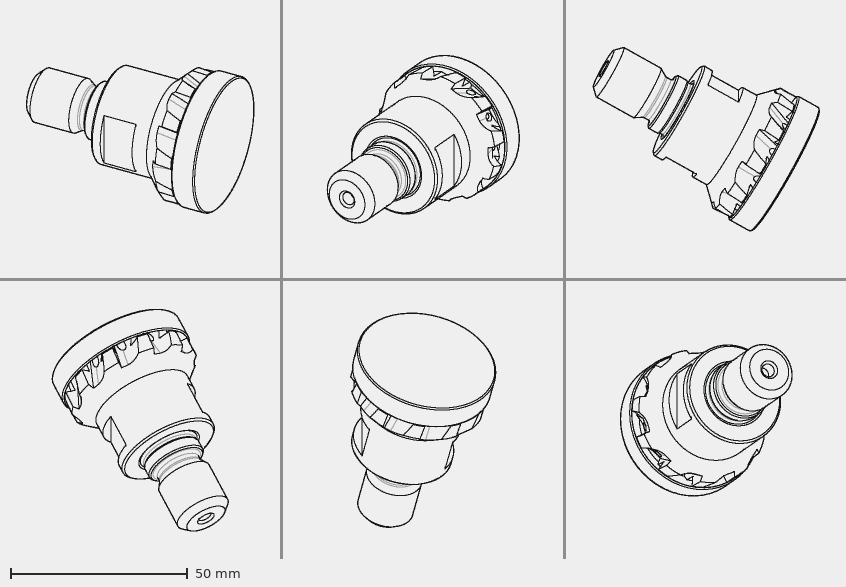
import cadquery as cq
import math

TIP_CHAMFER_END = 2.05
SHANK_END = 14.15
NECK_TAPER_END = 16.3
NECK_START = 16.8
NECK_END = 18.1
COLLAR_START = 19.0
COLLAR_END = 22.25
RELIEF_START = 22.7
BODY_START = 24.0
CONE_START = 41.55
CONE_END = 46.6
RIB_END = 51.45
LIP_START = 51.75
GAP_END = 55.75
TOTAL_LENGTH = 59.0

TIP_RADIUS = 6.0
SHANK_RADIUS = 8.0
NECK_RADIUS = 6.55
NECK_TAPER_RADIUS = 6.7
NECK_FILLET = COLLAR_START - NECK_END
COLLAR_RADIUS = 8.55
COLLAR_CHAMFER = 0.5
RELIEF_RADIUS = 8.2
BODY_RADIUS = 14.5
BODY_CHAMFER = 0.6
RIB_RADIUS = 19.5
FLANGE_RADIUS = 20.0
FLANGE_CHAMFER = 0.4

UNDERCUT_OUTER_RADIUS = 9.5
UNDERCUT_DEPTH = 0.3
UNDERCUT_FILLET = 0.7

GAP_FLOOR_RADIUS = 16.8
GAP_FLOOR_START = 51.0
LIP_INNER_RADIUS = 15.4

FLAT_START = 27.1
FLAT_LENGTH = 10.0
FLAT_DISTANCE = 12.0

HOLE_RADIUS = 1.9
HOLE_DEPTH = 4.7
COUNTERSINK_RADIUS = 2.6
DRILL_POINT_ANGLE = 118.0

SLOT_COUNT = 11
SLOT_START = 43.65
SLOT_FLOOR_RADIUS = 18.75
SLOT_FLOOR_WIDTH = 2.0
SLOT_WALL_HEIGHT = 2.3
SLOT_ARC_RADIUS = 5.9
SLOT_TAPER = 21.0
SLOT_TWIST = 8.5
SLOT_WALL_LEAN = 10.0

PORT_RADIUS = 1.1
PORT_POSITION = 53.0
PORT_ANGLE = 50.0
PORT_DEPTH = 5.9
PORT_CLEARANCE = 2.95


def revolve_x(profile):
    """Turn a closed half profile in the XY plane about the X axis."""
    return profile.close().revolve(360, (0, 0, 0), (1, 0, 0))


def make_hub():
    """Shank, collar, body and head, up to the bottom of the ring gap."""
    neck_offset = NECK_FILLET * math.sqrt(0.5)
    undercut_end = BODY_START + UNDERCUT_DEPTH
    undercut_start = undercut_end - UNDERCUT_FILLET
    undercut_offset = UNDERCUT_FILLET * math.sqrt(0.5)
    profile = (
        cq.Workplane("XY")
        .moveTo(0, 0)
        .lineTo(0, TIP_RADIUS)
        .lineTo(TIP_CHAMFER_END, SHANK_RADIUS)
        .lineTo(SHANK_END, SHANK_RADIUS)
        .lineTo(NECK_TAPER_END, NECK_TAPER_RADIUS)
        .tangentArcPoint((NECK_START, NECK_RADIUS), relative=False)
        .lineTo(NECK_END, NECK_RADIUS)
        .threePointArc(
            (NECK_END + neck_offset, NECK_RADIUS + NECK_FILLET - neck_offset),
            (COLLAR_START, NECK_RADIUS + NECK_FILLET),
        )
        .lineTo(COLLAR_START, COLLAR_RADIUS - COLLAR_CHAMFER)
        .lineTo(COLLAR_START + COLLAR_CHAMFER, COLLAR_RADIUS)
        .lineTo(COLLAR_END, COLLAR_RADIUS)
        .lineTo(RELIEF_START, RELIEF_RADIUS)
        .lineTo(undercut_start, RELIEF_RADIUS)
        .threePointArc(
            (undercut_start + undercut_offset, RELIEF_RADIUS + UNDERCUT_FILLET - undercut_offset),
            (undercut_end, RELIEF_RADIUS + UNDERCUT_FILLET),
        )
        .lineTo(BODY_START, UNDERCUT_OUTER_RADIUS)
        .lineTo(BODY_START, BODY_RADIUS - BODY_CHAMFER)
        .lineTo(BODY_START + BODY_CHAMFER, BODY_RADIUS)
        .lineTo(CONE_START, BODY_RADIUS)
        .lineTo(CONE_END, RIB_RADIUS)
        .lineTo(RIB_END, RIB_RADIUS)
        .lineTo(GAP_FLOOR_START, GAP_FLOOR_RADIUS)
        .lineTo(GAP_END, GAP_FLOOR_RADIUS)
        .lineTo(GAP_END, 0)
    )
    return revolve_x(profile)


def make_flange():
    """Chamfered disc whose front side is hollowed to a cone under its lip."""
    profile = (
        cq.Workplane("XY")
        .moveTo(GAP_END, 0)
        .lineTo(GAP_END, LIP_INNER_RADIUS)
        .lineTo(LIP_START, RIB_RADIUS)
        .lineTo(LIP_START, FLANGE_RADIUS - FLANGE_CHAMFER)
        .lineTo(LIP_START + FLANGE_CHAMFER, FLANGE_RADIUS)
        .lineTo(TOTAL_LENGTH - FLANGE_CHAMFER, FLANGE_RADIUS)
        .lineTo(TOTAL_LENGTH, FLANGE_RADIUS - FLANGE_CHAMFER)
        .lineTo(TOTAL_LENGTH, 0)
    )
    return revolve_x(profile)


def make_slot():
    """One slot on the -Y side: leaning wall, flat floor and round run-out, sinking toward the flange."""
    outer = SLOT_FLOOR_RADIUS + SLOT_ARC_RADIUS
    wall_rise = SLOT_ARC_RADIUS * math.tan(math.radians(SLOT_WALL_LEAN))
    floor_edge = SLOT_WALL_HEIGHT - SLOT_FLOOR_WIDTH
    arc_offset = SLOT_ARC_RADIUS * math.sqrt(0.5)
    section = (
        cq.Workplane("YZ", origin=(SLOT_START, 0, 0))
        .moveTo(-outer, SLOT_WALL_HEIGHT + wall_rise)
        .lineTo(-SLOT_FLOOR_RADIUS, SLOT_WALL_HEIGHT)
        .lineTo(-SLOT_FLOOR_RADIUS, floor_edge)
        .threePointArc(
            (-outer + arc_offset, floor_edge - arc_offset),
            (-outer, floor_edge - SLOT_ARC_RADIUS),
        )
        .close()
    )
    length = GAP_END - SLOT_START
    sweep = cq.Vector(
        length,
        length * math.tan(math.radians(SLOT_TAPER)),
        -length * math.tan(math.radians(SLOT_TWIST)),
    )
    return cq.Workplane(cq.Solid.extrudeLinear(section.val(), [], sweep))


def make_port():
    """Blind hole, slanted toward the flange, on the line where the slot floor meets the round run-out."""
    run = PORT_POSITION - SLOT_START
    floor_radius = SLOT_FLOOR_RADIUS - run * math.tan(math.radians(SLOT_TAPER))
    height = SLOT_WALL_HEIGHT - SLOT_FLOOR_WIDTH - run * math.tan(math.radians(SLOT_TWIST))
    slant = math.radians(PORT_ANGLE)
    axis = cq.Vector(math.cos(slant), math.sin(slant), 0)
    mouth = cq.Vector(PORT_POSITION, -floor_radius, height) - axis * PORT_CLEARANCE
    return cq.Workplane(cq.Solid.makeCylinder(PORT_RADIUS, PORT_CLEARANCE + PORT_DEPTH, mouth, axis))


def make_flat(side):
    """Block that cuts one wrench flat; side is -1 or 1 along Y."""
    cutter_depth = BODY_RADIUS
    return cq.Workplane("XY").box(FLAT_LENGTH, cutter_depth, 2 * BODY_RADIUS).translate(
        (FLAT_START + FLAT_LENGTH / 2, side * (FLAT_DISTANCE + cutter_depth / 2), 0)
    )


def make_centre_hole():
    """Countersunk blind hole with a drill point."""
    point_length = HOLE_RADIUS / math.tan(math.radians(DRILL_POINT_ANGLE / 2))
    profile = (
        cq.Workplane("XY")
        .moveTo(0, 0)
        .lineTo(0, COUNTERSINK_RADIUS)
        .lineTo(COUNTERSINK_RADIUS - HOLE_RADIUS, HOLE_RADIUS)
        .lineTo(HOLE_DEPTH, HOLE_RADIUS)
        .lineTo(HOLE_DEPTH + point_length, 0)
    )
    return revolve_x(profile)


def cut_around(body, cutter):
    """Cut copies of the cutter at every slot place around the X axis."""
    for index in range(SLOT_COUNT):
        body = body.cut(cutter.rotate((0, 0, 0), (1, 0, 0), index * 360 / SLOT_COUNT))
    return body


hub = make_hub().cut(make_centre_hole())
for side in (-1, 1):
    hub = hub.cut(make_flat(side))
hub = cut_around(hub, make_slot())
result = cut_around(hub.union(make_flange()), make_port())